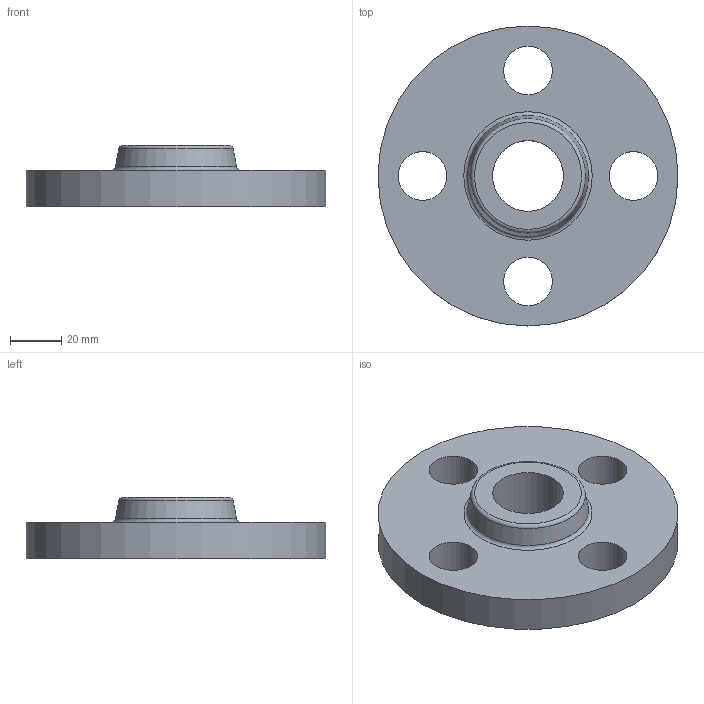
import cadquery as cq
import math

flange_diameter = 117.348
flange_thickness = 14.224

overall_height = 23.876
hub_base_diameter = 47.752
hub_draft_angle = 10.0
hub_root_fillet = 1.5
hub_top_fillet = 1.5
bore_diameter = 27.686

bolt_circle_diameter = 82.55
bolt_hole_diameter = 19.05
bolt_hole_count = 4

hub_height = overall_height - flange_thickness
hub_top_radius = hub_base_diameter / 2 - hub_height * math.tan(math.radians(hub_draft_angle))


def make_body():
    """Revolve the plate and tapered hub about Z, with the plate's lower face at Z = 0."""
    flange_radius = flange_diameter / 2
    profile = (
        cq.Workplane("XZ")
        .moveTo(0, 0)
        .lineTo(flange_radius, 0)
        .lineTo(flange_radius, flange_thickness)
        .lineTo(hub_base_diameter / 2, flange_thickness)
        .lineTo(hub_top_radius, overall_height)
        .lineTo(0, overall_height)
        .close()
    )
    return profile.revolve(360, (0, 0, 0), (0, 1, 0))


def circle_edge_at(body, radius, height):
    """Select the circular edge of the given radius centred on Z at the given height."""
    tolerance = 0.01
    lower_corner = (-radius - tolerance, -radius - tolerance, height - tolerance)
    upper_corner = (radius + tolerance, radius + tolerance, height + tolerance)
    return body.edges("%CIRCLE").edges(cq.selectors.BoxSelector(lower_corner, upper_corner, boundingbox=True))


def round_hub(body):
    """Blend the hub into the plate and round its top rim."""
    body = circle_edge_at(body, hub_base_diameter / 2, flange_thickness).fillet(hub_root_fillet)
    return circle_edge_at(body, hub_top_radius, overall_height).fillet(hub_top_fillet)


def cut_bore(body):
    """Cut the central bore through plate and hub."""
    bore = cq.Workplane("XY").circle(bore_diameter / 2).extrude(overall_height)
    return body.cut(bore)


def cut_bolt_holes(body):
    """Cut the equally spaced bolt holes through the plate."""
    holes = (
        cq.Workplane("XY")
        .polarArray(bolt_circle_diameter / 2, 0, 360, bolt_hole_count)
        .circle(bolt_hole_diameter / 2)
        .extrude(flange_thickness)
    )
    return body.cut(holes)


result = cut_bolt_holes(cut_bore(round_hub(make_body())))